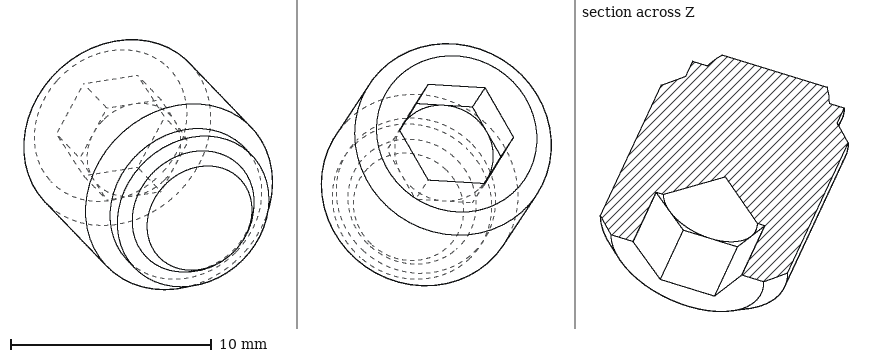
import cadquery as cq
import math

total_length = 12.3
body_diameter = 10.0
socket_end_chamfer = 0.92
tip_end_chamfer = 0.95
collar_length = 1.0
tip_length = 0.89
tip_flat_radius = 2.8
ball_radius = 3.45
socket_across_flats = 5.0
socket_depth = 3.23
drill_point_angle = 100.0

body_radius = body_diameter / 2
collar_radius = body_radius - tip_end_chamfer
collar_end = total_length - tip_length
body_end = collar_end - collar_length

ball_center = total_length - math.sqrt(ball_radius**2 - tip_flat_radius**2)


def radius_on_ball(x):
    return math.sqrt(ball_radius**2 - (x - ball_center) ** 2)


def make_body():
    tip_middle = (collar_end + total_length) / 2
    outline = (
        cq.Workplane("XY")
        .lineTo(0, body_radius - socket_end_chamfer)
        .lineTo(socket_end_chamfer, body_radius)
        .lineTo(body_end - tip_end_chamfer, body_radius)
        .lineTo(body_end, collar_radius)
        .lineTo(collar_end, collar_radius)
        .lineTo(collar_end, radius_on_ball(collar_end))
        .threePointArc((tip_middle, radius_on_ball(tip_middle)), (total_length, tip_flat_radius))
        .lineTo(total_length, 0)
        .close()
    )
    return outline.revolve(360, (0, 0, 0), (1, 0, 0))


def make_socket():
    across_corners = socket_across_flats / math.cos(math.pi / 6)
    hexagon = cq.Workplane("YZ").polygon(6, across_corners).extrude(socket_depth)
    drill_radius = socket_across_flats / 2
    point_depth = drill_radius / math.tan(math.radians(drill_point_angle / 2))
    drill_point = (
        cq.Workplane("XY")
        .moveTo(socket_depth, 0)
        .lineTo(socket_depth, drill_radius)
        .lineTo(socket_depth + point_depth, 0)
        .close()
        .revolve(360, (0, 0, 0), (1, 0, 0))
    )
    return hexagon.union(drill_point)


result = make_body().cut(make_socket())